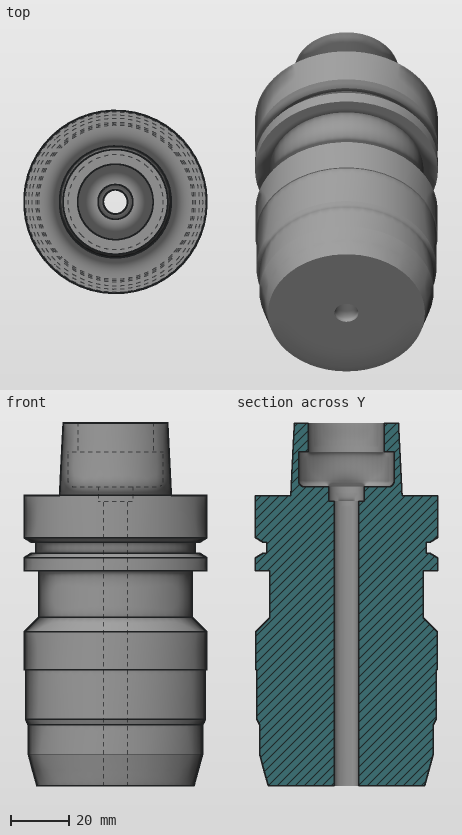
import cadquery as cq

total_length = 125.0
flange_radius = 31.5

shank_length = 25.0
shank_tip_radius = 18.0
shank_root_radius = 19.2

flange_length = 26.0
groove_center_below_face = 18.0
groove_mouth_width = 7.0
groove_floor_width = 3.8
groove_shoulder_radius = 28.9
groove_floor_radius = 27.5

neck_radius = 26.5
body_top_height = 53.1
upper_body_radius = 31.4
upper_body_base_height = 40.0
lower_body_radius = 31.0
lower_body_base_height = 23.0
collar_radius = 30.0
collar_top_height = 21.0
collar_base_height = 11.0
nose_radius = 27.0

mouth_radius = 13.0
mouth_depth = 10.0
cavity_radius = 16.4
cavity_depth = 22.0
cavity_floor_fillet = 2.0
counterbore_radius = 6.0
counterbore_depth = 5.0
through_radius = 4.1

flange_top = total_length - shank_length
flange_bottom = flange_top - flange_length
groove_center = flange_top - groove_center_below_face
groove_mouth_top = groove_center + groove_mouth_width / 2
groove_mouth_bottom = groove_center - groove_mouth_width / 2
groove_floor_top = groove_center + groove_floor_width / 2
groove_floor_bottom = groove_center - groove_floor_width / 2
neck_bottom = body_top_height + upper_body_radius - neck_radius


def revolve_outline(points):
    """Revolve a closed (radius, height) outline around the Z axis."""
    return cq.Workplane("XZ").polyline(points).close().revolve(360, (0, 0, 0), (0, 1, 0))


def bore_section(radius, bottom, top):
    """Cylinder on the Z axis between two heights."""
    return cq.Workplane("XY").workplane(offset=bottom).circle(radius).extrude(top - bottom)


def outer_body():
    """Solid holder, outlined from the nose up to the shank tip."""
    return revolve_outline([
        (0, 0),
        (nose_radius, 0),
        (collar_radius, collar_base_height),
        (collar_radius, collar_top_height),
        (lower_body_radius, lower_body_base_height),
        (lower_body_radius, upper_body_base_height),
        (upper_body_radius, upper_body_base_height),
        (upper_body_radius, body_top_height),
        (neck_radius, neck_bottom),
        (neck_radius, flange_bottom),
        (flange_radius, flange_bottom),
        (flange_radius, groove_mouth_bottom),
        (groove_shoulder_radius, groove_floor_bottom),
        (groove_floor_radius, groove_floor_bottom),
        (groove_floor_radius, groove_floor_top),
        (groove_shoulder_radius, groove_floor_top),
        (flange_radius, groove_mouth_top),
        (flange_radius, flange_top),
        (shank_root_radius, flange_top),
        (shank_tip_radius, total_length),
        (0, total_length),
    ])


def stepped_bore():
    """Mouth, wider round-cornered clamping cavity, counterbore and through hole."""
    mouth_bottom = total_length - mouth_depth
    cavity_bottom = total_length - cavity_depth
    counterbore_bottom = cavity_bottom - counterbore_depth
    mouth = bore_section(mouth_radius, mouth_bottom, total_length)
    cavity = bore_section(cavity_radius, cavity_bottom, mouth_bottom)
    cavity = cavity.faces("<Z").edges().fillet(cavity_floor_fillet)
    counterbore = bore_section(counterbore_radius, counterbore_bottom, cavity_bottom)
    through_hole = bore_section(through_radius, 0, counterbore_bottom)
    return mouth.union(cavity).union(counterbore).union(through_hole)


result = outer_body().cut(stepped_bore())